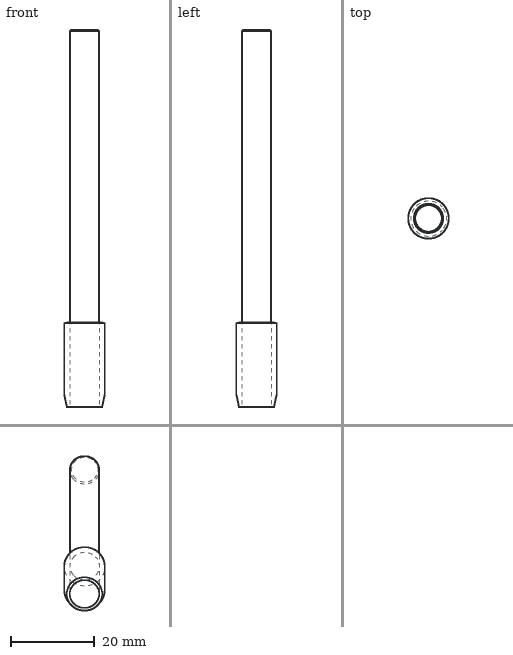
import cadquery as cq

rod_length = 90.0
rod_diameter = 7.0
rod_chamfer = 0.4

sleeve_length = 20.25
sleeve_diameter = 9.7
sleeve_top_diameter = 7.7
sleeve_top_bevel_height = 0.3
sleeve_bottom_diameter = 8.5
sleeve_taper_height = 3.0


def make_rod():
    """Round rod with a small chamfer at its upper end."""
    rod = cq.Workplane("XY").circle(rod_diameter / 2).extrude(rod_length)
    return rod.faces(">Z").chamfer(rod_chamfer)


def make_sleeve():
    """Revolved sleeve, tapered below and bevelled above, bored through for the rod."""
    bore_radius = rod_diameter / 2
    outer_radius = sleeve_diameter / 2
    profile = [
        (bore_radius, 0),
        (sleeve_bottom_diameter / 2, 0),
        (outer_radius, sleeve_taper_height),
        (outer_radius, sleeve_length - sleeve_top_bevel_height),
        (sleeve_top_diameter / 2, sleeve_length),
        (bore_radius, sleeve_length),
    ]
    return cq.Workplane("XZ").polyline(profile).close().revolve(360, (0, 0), (0, 1))


rod = make_rod()
sleeve = make_sleeve()

result = cq.Compound.makeCompound([rod.val(), sleeve.val()])